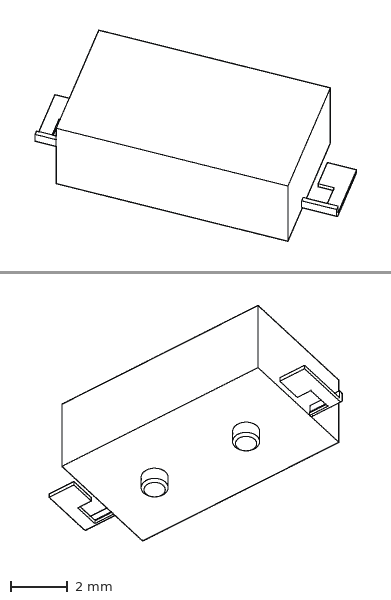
import cadquery as cq

overall_length = 11.2
body_length = 8.6
body_width = 4.8
body_height = 3.0

pin_diameter = 0.95
pin_length = 0.59
pin_spacing = 4.01
pin_chamfer = 0.1

strip_thickness = 0.17
foot_bottom = -0.02
bend_radius = 0.2
arm_top = 0.48
arm_front = -0.85
foot_back = 1.4
pad_front = 0.36
pad_width = 1.09
leg_width = 0.49

terminal_end = overall_length / 2
body_end = body_length / 2
arm_back = arm_front + strip_thickness
bend_back = arm_front + bend_radius
bend_top = foot_bottom + bend_radius


def make_pin(x):
    """Round pin pointing down, with a chamfered tip."""
    return (
        cq.Workplane("XY")
        .center(x, 0)
        .circle(pin_diameter / 2)
        .extrude(-pin_length)
        .faces("<Z")
        .chamfer(pin_chamfer)
    )


def make_terminal():
    """Terminal at the +X end: upright arm with a rounded lower edge, and an L-shaped foot."""
    arm = (
        cq.Workplane("YZ", origin=(body_end, 0, 0))
        .moveTo(arm_back, foot_bottom + strip_thickness)
        .lineTo(bend_back, foot_bottom + strip_thickness)
        .lineTo(bend_back, foot_bottom)
        .radiusArc((arm_front, bend_top), bend_radius)
        .lineTo(arm_front, arm_top)
        .lineTo(arm_back, arm_top)
        .close()
        .extrude(terminal_end - body_end)
    )
    foot = (
        cq.Workplane("XY", origin=(0, 0, foot_bottom))
        .moveTo(terminal_end, bend_back)
        .lineTo(terminal_end, foot_back)
        .lineTo(terminal_end - pad_width, foot_back)
        .lineTo(terminal_end - pad_width, pad_front)
        .lineTo(terminal_end - leg_width, pad_front)
        .lineTo(terminal_end - leg_width, bend_back)
        .close()
        .extrude(strip_thickness)
    )
    return arm.union(foot)


body = cq.Workplane("XY").box(body_length, body_width, body_height, centered=(True, True, False))
for pin_x in (-pin_spacing / 2, pin_spacing / 2):
    body = body.union(make_pin(pin_x))

terminal = make_terminal()
result = body.union(terminal).union(terminal.mirror("YZ"))